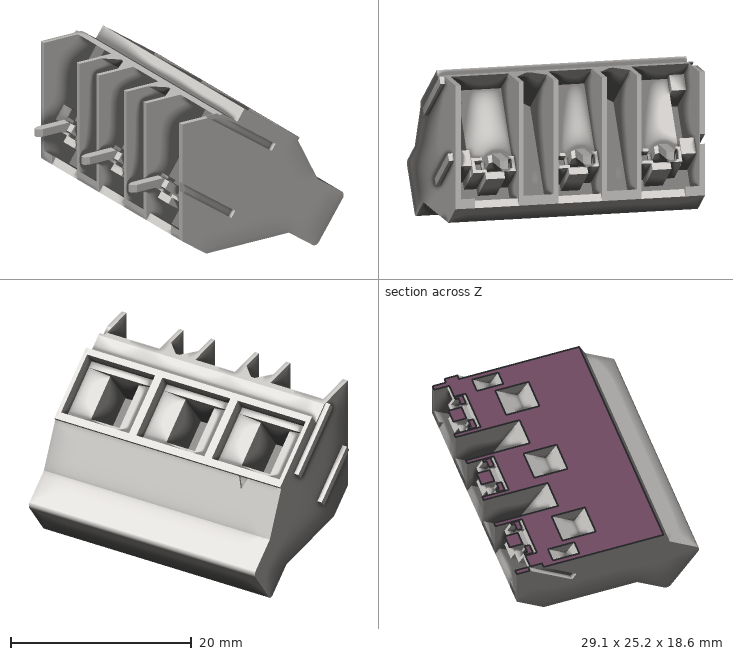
import cadquery as cq
import math

TILT = math.radians(35)
COS = math.cos(TILT)
SIN = math.sin(TILT)

body_length = 28.55
body_top = 18.55
belly = 2.3
heel_height = 3.7
nose_low = 9.98
nose_high = 16.75
nose_end = 14.67
nose_radius = 0.58
neck_foot = 10.2
lip_along = 5.05
lip_drop = 0.38
face_height = 19.9
ledge_height = 18.28

pole_count = 3
pole_pitch = 9.52

window_width = 8.6
window_start = -3.15
window_end = 4.15
window_depth = 1.83
funnel_depth = 0.75
shaft_width = 3.6
shaft_start = -2.33
shaft_end = 3.1
shaft_floor = 11.27

open_end = -11.65
floor_height = 4.6
ceiling_height = 17.8
chamber_width = 5.0
chamber_wall = -2.77
deep_end = 0.85
side_wall = 0.6

block_front = -3.87
block_thickness = 1.9
lower_block_base = 8.27

slot_width = 3.43
slot_peak_width = 0.47
slot_peak_drop = 0.95

tongue_reach = 0.55
tongue_thickness = 0.9
upper_tongue_start = -6.52
upper_tongue_end = 2.45
upper_tongue_base = 17.15
lower_tongue_start = -5.1
lower_tongue_end = 1.98
lower_tongue_base = 8.5

cage_width = 4.9
cage_front = -3.87
cage_low = 7.36
cage_high = 9.17
cage_side = 0.35
cage_gap = 2.4
tab_width = 2.15
tab_thickness = 0.82

strip_width = 1.75
strip_top = 8.8
strip_shoulder = 0.38
strip_head = 0.4
pin_width = 1.0
pin_thickness = 0.9
pin_tip = -3.85
pin_tip_width = 0.47
pin_taper = 0.67
pin_top = 10.55

mark_width = 1.14
mark_length = 1.37
mark_depth = 0.3


def tilted(along, height):
    """Y and Z of a point given in the tilted frame."""
    return (along * COS + height * SIN, height * COS - along * SIN)


def at_level(height, z):
    """Y and Z where a line of constant tilted height crosses level z."""
    return ((height - z * COS) / SIN, z)


def along_of(point):
    """Tilted coordinate along the slanted top face of a (Y, Z) point."""
    return point[0] * COS - point[1] * SIN


def tilted_plane(x):
    """Plane square to X whose local axes are along and height."""
    return cq.Plane(origin=(x, 0, 0), xDir=(0, COS, -SIN), normal=(1, 0, 0))


def tilted_box(x_range, along_range, height_range):
    """Box lined up with the tilted frame."""
    low = (along_range[0], height_range[0])
    high = (along_range[1], height_range[1])
    sketch = cq.Workplane(tilted_plane(x_range[0])).moveTo(*low).lineTo(high[0], low[1])
    sketch = sketch.lineTo(*high).lineTo(low[0], high[1]).close()
    return sketch.extrude(x_range[1] - x_range[0])


def centred(x, width):
    return (x - width / 2, x + width / 2)


def make_housing():
    ridge = at_level(face_height, body_top)
    ridge_along = along_of(ridge)
    outline = [
        (0, heel_height / COS),
        at_level(heel_height, belly),
        at_level(nose_low, belly),
        tilted(nose_end, nose_low),
        tilted(nose_end, nose_high),
        tilted(neck_foot, nose_high),
        tilted(lip_along, face_height - lip_drop),
        tilted(lip_along, face_height),
        ridge,
        tilted(ridge_along, ledge_height),
        at_level(ledge_height, body_top),
        (0, body_top),
    ]
    housing = cq.Workplane("YZ").polyline(outline).close().extrude(body_length)
    nose_y, nose_z = tilted(nose_end, (nose_low + nose_high) / 2)
    nose_face = cq.selectors.NearestToPointSelector((body_length / 2, nose_y, nose_z))
    return housing.faces(nose_face).edges("|X").fillet(nose_radius)


def make_funnel(x):
    """Rectangular window, tapered funnel and blind shaft in the slanted face."""
    funnel_top = face_height - window_depth
    shaft_top = funnel_top - funnel_depth
    window = tilted_box(centred(x, window_width), (window_start, window_end), (funnel_top, face_height))
    mouth_length = window_end - shaft_start
    shaft_length = shaft_end - shaft_start
    mouth_middle = (shaft_start + window_end) / 2
    shaft_middle = (shaft_start + shaft_end) / 2
    mouth = cq.Plane(origin=(x, *tilted(mouth_middle, funnel_top)), xDir=(1, 0, 0), normal=(0, -SIN, -COS))
    taper = cq.Workplane(mouth).rect(window_width, mouth_length).workplane(offset=funnel_depth)
    taper = taper.center(0, mouth_middle - shaft_middle).rect(shaft_width, shaft_length).loft(ruled=True)
    shaft = tilted_box(centred(x, shaft_width), (shaft_start, shaft_end), (shaft_floor, shaft_top))
    return window.union(taper).union(shaft)


def make_chamber(x):
    """Chamber of one pole, deeper below the cage and with the floor edge cut back."""
    x_range = centred(x, chamber_width)
    upper = tilted_box(x_range, (open_end, chamber_wall), (floor_height, ceiling_height))
    lower = tilted_box(x_range, (open_end, deep_end), (floor_height, cage_low))
    floor_edge = -heel_height * math.tan(TILT)
    sill = tilted_box(x_range, (open_end, floor_edge), (0, floor_height))
    return upper.union(lower).union(sill)


def make_socket(x_range):
    """Side socket with its two backing blocks left standing."""
    socket = tilted_box(x_range, (open_end, deep_end), (floor_height, ceiling_height))
    for base in (lower_block_base, ceiling_height - block_thickness):
        block = tilted_box(x_range, (block_front, deep_end), (base, base + block_thickness))
        socket = socket.cut(block)
    return socket


def make_slot(x):
    """Slot between two poles with a peaked top."""
    half = slot_width / 2
    half_peak = slot_peak_width / 2
    shoulder = ceiling_height - slot_peak_drop
    section = [
        (-half, floor_height),
        (half, floor_height),
        (half, shoulder),
        (half_peak, ceiling_height),
        (-half_peak, ceiling_height),
        (-half, shoulder),
    ]
    end = cq.Plane(origin=(x, *tilted(deep_end, 0)), xDir=(1, 0, 0), normal=(0, -COS, SIN))
    return cq.Workplane(end).polyline(section).close().extrude(deep_end - open_end)


def make_cage(x):
    """Hollow clamp cage with a dip in its floor over a tab, standing out of the chamber wall."""
    x_range = centred(x, cage_width)
    cage = tilted_box(x_range, (cage_front, deep_end), (cage_low, cage_high))
    hollow_range = centred(x, cage_width - 2 * cage_side)
    hollow_height = (cage_low + cage_side, cage_high - cage_side)
    cage = cage.cut(tilted_box(hollow_range, (cage_front, chamber_wall), hollow_height))
    gap_height = (cage_high - cage_side, cage_high)
    cage = cage.cut(tilted_box(centred(x, cage_gap), (cage_front, chamber_wall), gap_height))
    dip_height = (cage_low, cage_low + cage_side)
    cage = cage.cut(tilted_box(centred(x, strip_width), (cage_front, chamber_wall), dip_height))
    tab_range = centred(x, tab_width)
    tab_height = (cage_low - tab_thickness, cage_low)
    return cage.union(tilted_box(tab_range, (cage_front, deep_end), tab_height))


def make_pin(x):
    """Level pin that bends down and widens into a strip ending in the cage."""
    pin_bottom = pin_top - pin_thickness
    strip_bottom = strip_top - pin_thickness
    bend_bottom = at_level(strip_bottom, pin_bottom)
    bend_top = at_level(strip_top, pin_top)
    pin_outline = [
        (-pin_tip_width / 2, pin_tip),
        (pin_tip_width / 2, pin_tip),
        (pin_width / 2, pin_tip + pin_taper),
        (pin_width / 2, bend_top[0]),
        (-pin_width / 2, bend_top[0]),
        (-pin_width / 2, pin_tip + pin_taper),
    ]
    bend_start = along_of(bend_top)
    shoulder_start = along_of(bend_bottom)
    shoulder_end = shoulder_start + strip_shoulder
    head_start = chamber_wall - strip_head
    right_edge = [
        (pin_width / 2, bend_start),
        (pin_width / 2, shoulder_start),
        (strip_width / 2, shoulder_end),
        (strip_width / 2, head_start),
        (cage_gap / 2, head_start),
        (cage_gap / 2, chamber_wall),
    ]
    strip_outline = right_edge + [(-across, along) for across, along in reversed(right_edge)]
    strip_base = cq.Plane(origin=(x, *tilted(0, strip_top)), xDir=(1, 0, 0), normal=(0, SIN, COS))
    strip = cq.Workplane(strip_base).polyline(strip_outline).close().extrude(-pin_thickness)
    pin = cq.Workplane("XY", origin=(x, 0, pin_bottom)).polyline(pin_outline).close().extrude(pin_thickness)
    return pin.union(strip)


def make_pole_mark(x):
    """Triangle engraved in the neck, its base under the lip."""
    neck_y, neck_z = tilted(lip_along, face_height - lip_drop)
    foot_y, foot_z = tilted(neck_foot, nose_high)
    run = math.hypot(foot_y - neck_y, foot_z - neck_z)
    slope = (0, (foot_y - neck_y) / run, (foot_z - neck_z) / run)
    inward = (0, slope[2], -slope[1])
    plane = cq.Plane(origin=(x, neck_y, neck_z), xDir=slope, normal=inward)
    triangle = [(0, -mark_width / 2), (mark_length, 0), (0, mark_width / 2)]
    return cq.Workplane(plane).polyline(triangle).close().extrude(mark_depth)


pole_xs = [body_length / 2 + (i - (pole_count - 1) / 2) * pole_pitch for i in range(pole_count)]
slot_xs = [x + pole_pitch / 2 for x in pole_xs[:-1]]

result = make_housing()
for x in pole_xs:
    result = result.cut(make_funnel(x)).cut(make_chamber(x))
for x in slot_xs:
    result = result.cut(make_slot(x))

socket_limit = pole_xs[0] - chamber_width / 2
result = result.cut(make_socket((side_wall, socket_limit)))
result = result.cut(make_socket((body_length - socket_limit, body_length - side_wall)))

tongues = [
    (upper_tongue_start, upper_tongue_end, upper_tongue_base),
    (lower_tongue_start, lower_tongue_end, lower_tongue_base),
]
groove_x = (body_length - tongue_reach, body_length)
for start, end, base in tongues:
    height_range = (base, base + tongue_thickness)
    result = result.union(tilted_box((-tongue_reach, 0), (start, end), height_range))
    result = result.cut(tilted_box(groove_x, (open_end, end), height_range))

for x in pole_xs:
    result = result.union(make_cage(x)).union(make_pin(x))

result = result.cut(make_pole_mark(pole_xs[0]))